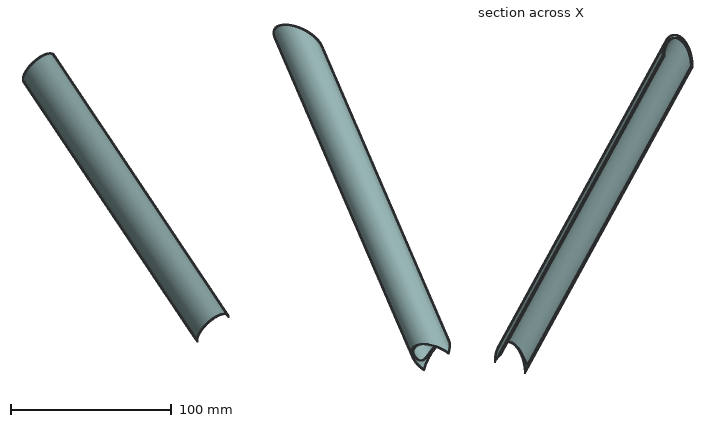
import cadquery as cq
import math

overall_height = 206.0
tube_diameter = 25.0
wall = 1.5
tilt = 32.2
mitre_angle = 45.0

radius = tube_diameter / 2
tilt_rad = math.radians(tilt)
mitre_reach = radius * math.tan(math.radians(mitre_angle))
axis_length = (overall_height - radius - radius * math.sin(tilt_rad)) / math.cos(tilt_rad)


def make_mitred_tube():
    """Upright tube from Z = 0, its top sloping up toward +X."""
    kept = (
        cq.Workplane("XZ")
        .moveTo(-radius, 0)
        .lineTo(radius, 0)
        .lineTo(radius, axis_length + mitre_reach)
        .lineTo(-radius, axis_length - mitre_reach)
        .close()
        .extrude(radius, both=True)
    )
    tube = (
        cq.Workplane("XY")
        .circle(radius)
        .circle(radius - wall)
        .extrude(axis_length + mitre_reach)
    )
    return tube.intersect(kept)


def make_saddle_cutter():
    """Crosswise cylinder along X, as wide as the tube, that copes its lower end."""
    return cq.Workplane("YZ").circle(radius).extrude(tube_diameter, both=True)


upright_tube = make_mitred_tube().cut(make_saddle_cutter())
result = upright_tube.rotate((0, 0, 0), (1, 0, 0), tilt)